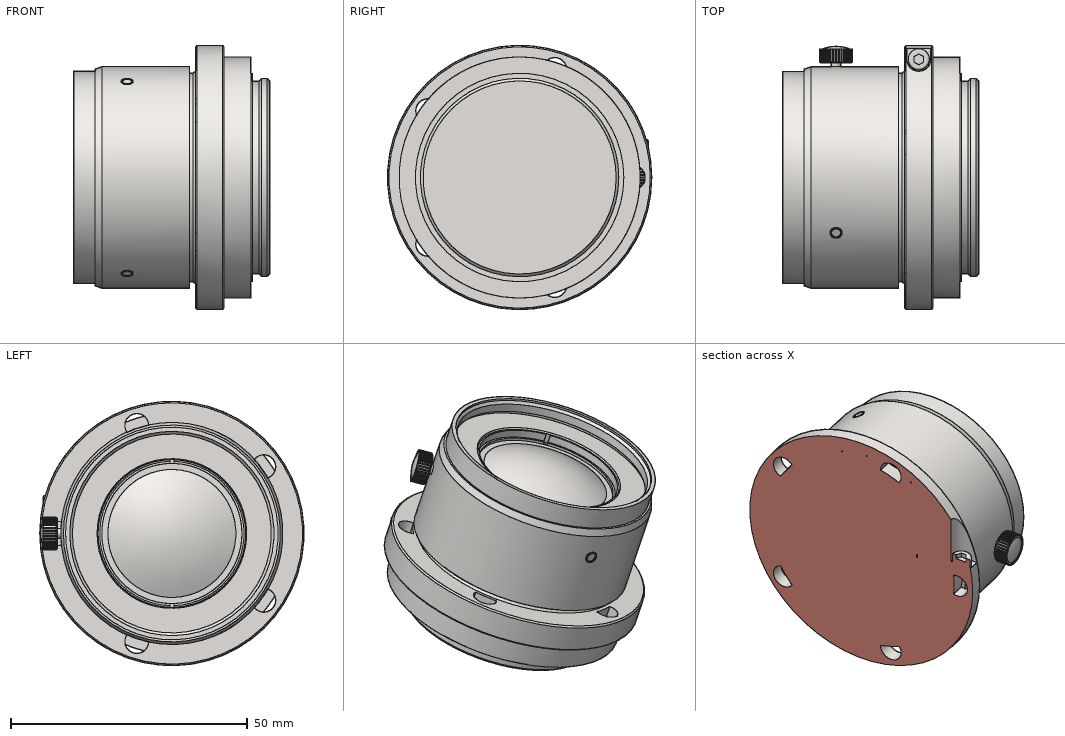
import cadquery as cq
import math


overall_length = 41.55
front_radius = 22.5
barrel_start = 4.55
barrel_end = 24.6
barrel_radius = 23.5
barrel_chamfer_length = 1.5
barrel_chamfer_height = 0.55
neck_radius = 22.1
neck_flare_start = 25.25
neck_flare_radius = 22.55
flange_start = 25.8
flange_end = 31.85
flange_radius = 28.0
flange_chamfer = 0.35
rear_body_end = 37.5
rear_body_radius = 25.55
shoulder_end = 37.85
shoulder_radius = 22.05
thread_start = 39.25
thread_radius = 21.0
thread_chamfer = 0.55
undercut_radius = thread_radius - thread_chamfer

rim_bore_radius = 21.6
rim_bore_depth = 0.45
recess_radius = 21.05
relief_start = 2.8
recess_depth = 3.6
lens_ring_outer_radius = 15.85
lens_ring_radius = 15.6
lens_ring_depth = 3.9
lens_bore_radius = 15.3
lens_step_radius = 14.85
lens_step_depth = 5.6
lens_seat_depth = 6.15
lens_radius = 13.55
lens_apex_depth = 2.6
spanner_slot_width = 0.9
spanner_slot_floor = 6.05

hole_count = 5
hole_radius = 2.5
hole_circle_radius = 24.0
hole_inner_limit = 23.35

locking_x = 11.3
locking_count = 3
shank_diameter = 2.05
shank_embedding = 0.55
knob_radius = 3.45
knob_base_y = 24.25
knob_top_y = 27.25
knob_dome_radius = 2.85
knob_dome_top_y = 27.8
knob_chamfer = 0.3
knurl_count = 36
knurl_depth = 0.2

plug_hole_diameter = 2.5
plug_diameter = 2.0
plug_groove_depth = 0.3

clamp_x = (flange_start + flange_end) / 2
clamp_y = 25.0
clamp_pocket_radius = 2.5
clamp_pocket_floor_z = 5.8
clamp_head_radius = 2.25
clamp_head_height = 2.25
clamp_head_fillet = 0.45
clamp_socket_width = 2.0
clamp_socket_depth = 1.0


def make_body():
    """Solid of revolution, outlined from the lens apex round the front to the rear face."""
    lens_sag = lens_seat_depth - lens_apex_depth
    sphere_radius = (lens_radius**2 + lens_sag**2) / (2 * lens_sag)
    mid_angle = math.asin(lens_radius / sphere_radius) / 2
    lens_mid = (
        lens_apex_depth + sphere_radius * (1 - math.cos(mid_angle)),
        sphere_radius * math.sin(mid_angle),
    )
    front_points = [
        (lens_seat_depth, lens_step_radius),
        (lens_step_depth, lens_step_radius),
        (lens_step_depth, lens_bore_radius),
        (lens_ring_depth, lens_bore_radius),
        (lens_ring_depth, lens_ring_radius),
        (recess_depth, lens_ring_outer_radius),
        (recess_depth, rim_bore_radius),
        (relief_start, rim_bore_radius),
        (relief_start, recess_radius),
        (rim_bore_depth + rim_bore_radius - recess_radius, recess_radius),
        (rim_bore_depth, rim_bore_radius),
        (0, rim_bore_radius),
    ]
    outer_points = [
        (0, front_radius),
        (barrel_start, front_radius),
        (barrel_start, barrel_radius - barrel_chamfer_height),
        (barrel_start + barrel_chamfer_length, barrel_radius),
        (barrel_end, barrel_radius),
        (barrel_end, neck_radius),
        (neck_flare_start, neck_radius),
        (flange_start, neck_flare_radius),
        (flange_start, flange_radius - flange_chamfer),
        (flange_start + flange_chamfer, flange_radius),
        (flange_end - flange_chamfer, flange_radius),
        (flange_end, flange_radius - flange_chamfer),
        (flange_end, rear_body_radius),
        (rear_body_end, rear_body_radius),
        (rear_body_end, shoulder_radius),
        (shoulder_end, shoulder_radius),
        (shoulder_end, undercut_radius),
        (thread_start, undercut_radius),
        (thread_start + thread_chamfer, thread_radius),
        (overall_length - thread_chamfer, thread_radius),
        (overall_length, undercut_radius),
        (overall_length, 0),
    ]
    profile = (
        cq.Workplane("XY")
        .moveTo(lens_apex_depth, 0)
        .threePointArc(lens_mid, (lens_seat_depth, lens_radius))
    )
    for point in front_points + outer_points:
        profile = profile.lineTo(*point)
    return profile.close().revolve(360, (0, 0, 0), (1, 0, 0))


def make_spanner_slots():
    """Two slots across the lens retaining ring, above and below the axis."""
    slot_length = lens_ring_radius - lens_step_radius
    slot_centre = (lens_ring_radius + lens_step_radius) / 2
    return (
        cq.Workplane("YZ", origin=(lens_ring_depth, 0, 0))
        .pushPoints([(0, slot_centre), (0, -slot_centre)])
        .rect(spanner_slot_width, slot_length)
        .extrude(spanner_slot_floor - lens_ring_depth)
    )


def make_mounting_holes():
    """Holes cut short on their inner side by the round core of the flange."""
    flange_face = cq.Workplane("YZ", origin=(flange_start, 0, 0))
    thickness = flange_end - flange_start
    holes = (
        flange_face
        .polarArray(hole_circle_radius, 0, 360, hole_count)
        .circle(hole_radius)
        .extrude(thickness)
    )
    core = flange_face.circle(hole_inner_limit).extrude(thickness)
    return holes.cut(core)


def plane_facing_y(y):
    """Plane across the locking screw axis, with its normal along +Y."""
    return cq.Workplane(cq.Plane(origin=(locking_x, y, 0), xDir=(1, 0, 0), normal=(0, 1, 0)))


def make_locking_screw():
    shank_start = barrel_radius - shank_embedding
    shank = plane_facing_y(shank_start).circle(shank_diameter / 2).extrude(knob_base_y - shank_start)
    head = (
        plane_facing_y(knob_base_y)
        .circle(knob_radius)
        .extrude(knob_top_y - knob_base_y)
        .faces("<Y")
        .chamfer(knob_chamfer)
    )
    grooves = (
        plane_facing_y(knob_base_y)
        .polarArray(knob_radius, 0, 360, knurl_count)
        .rect(2 * knurl_depth, knurl_depth)
        .extrude(knob_top_y - knob_base_y)
    )
    dome_height = knob_dome_top_y - knob_top_y
    dome_sphere_radius = (knob_dome_radius**2 + dome_height**2) / (2 * dome_height)
    dome = (
        cq.Workplane("XY")
        .moveTo(0, knob_top_y)
        .lineTo(knob_dome_radius, knob_top_y)
        .radiusArc((0, knob_dome_top_y), -dome_sphere_radius)
        .close()
        .revolve(360, (0, 0, 0), (0, 1, 0))
        .translate((locking_x, 0, 0))
    )
    return shank.union(head.cut(grooves)).union(dome)


def make_plug_groove(index):
    """Ring groove around the plug of one unused locking hole."""
    groove = (
        plane_facing_y(barrel_radius - plug_groove_depth)
        .circle(plug_hole_diameter / 2)
        .circle(plug_diameter / 2)
        .extrude(2 * plug_groove_depth)
    )
    return groove.rotate((0, 0, 0), (1, 0, 0), index * 360 / locking_count)


def make_clamp_pocket():
    """U-shaped pocket, open towards +Y and +Z."""
    floor = cq.Workplane("XY", origin=(clamp_x, clamp_y, clamp_pocket_floor_z))
    round_end = floor.circle(clamp_pocket_radius).extrude(flange_radius)
    open_end = floor.rect(2 * clamp_pocket_radius, 2 * flange_radius).extrude(flange_radius)
    open_side = cq.Workplane("XY").box(
        2 * flange_radius, flange_radius, 2 * flange_radius, centered=(True, False, True)
    ).translate((clamp_x, clamp_y, 0))
    return round_end.union(open_end.intersect(open_side))


def make_clamp_screw():
    return (
        cq.Workplane("XY", origin=(clamp_x, clamp_y, clamp_pocket_floor_z))
        .circle(clamp_head_radius)
        .extrude(clamp_head_height)
        .faces(">Z")
        .edges()
        .fillet(clamp_head_fillet)
        .faces(">Z")
        .workplane()
        .polygon(6, clamp_socket_width, circumscribed=True)
        .cutBlind(-clamp_socket_depth)
    )


body = make_body().cut(make_spanner_slots()).cut(make_mounting_holes())
for index in range(1, locking_count):
    body = body.cut(make_plug_groove(index))
body = body.cut(make_clamp_pocket()).union(make_clamp_screw())
result = body.union(make_locking_screw())